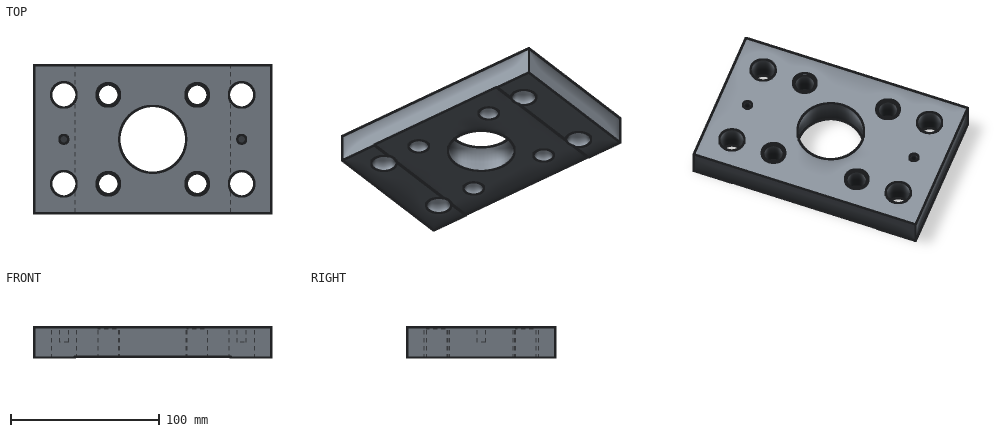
import cadquery as cq

LENGTH = 160.0
WIDTH = 100.0
HEIGHT = 20.5

RELIEF_DEPTH = 0.5
RELIEF_LENGTH = 105.0

BORE_DIAMETER = 45.0

HOLE_ROW_SPACING = 60.0

OUTER_HOLE_DIAMETER = 17.0
OUTER_SPACING_X = 120.0

INNER_HOLE_DIAMETER = 13.835
INNER_CHAMFER_DIAMETER = 16.0
INNER_CHAMFER_ANGLE = 45.0
INNER_CHAMFER_DEPTH = (INNER_CHAMFER_DIAMETER - INNER_HOLE_DIAMETER) / 2
INNER_SPACING_X = 60.0

DOWEL_DIAMETER = 6.0
DOWEL_DEPTH = 10.0
DOWEL_SPACING = OUTER_SPACING_X


def make_plate():
    """Rectangular plate standing on Z = 0, relieved across its underside."""
    plate = cq.Workplane("XY").box(LENGTH, WIDTH, HEIGHT, centered=(True, True, False))
    relief = cq.Workplane("XY").box(RELIEF_LENGTH, WIDTH, RELIEF_DEPTH, centered=(True, True, False))
    return plate.cut(relief)


def on_top():
    """Workplane on the top face, centred on the plate."""
    return cq.Workplane("XY", origin=(0, 0, HEIGHT))


def central_bore():
    return on_top().circle(BORE_DIAMETER / 2).extrude(-HEIGHT)


def outer_holes():
    centres = on_top().rarray(OUTER_SPACING_X, HOLE_ROW_SPACING, 2, 2)
    return centres.circle(OUTER_HOLE_DIAMETER / 2).extrude(-HEIGHT)


def inner_holes():
    """Through holes, each opening into a cone at the top face."""
    centres = on_top().rarray(INNER_SPACING_X, HOLE_ROW_SPACING, 2, 2)
    holes = centres.circle(INNER_HOLE_DIAMETER / 2).extrude(-HEIGHT)
    mouths = centres.circle(INNER_CHAMFER_DIAMETER / 2)
    cones = mouths.extrude(-INNER_CHAMFER_DEPTH, taper=INNER_CHAMFER_ANGLE)
    return holes.union(cones)


def dowel_holes():
    centres = on_top().rarray(DOWEL_SPACING, 1, 2, 1)
    return centres.circle(DOWEL_DIAMETER / 2).extrude(-DOWEL_DEPTH)


result = make_plate()
for cutter in (central_bore(), outer_holes(), inner_holes(), dowel_holes()):
    result = result.cut(cutter)